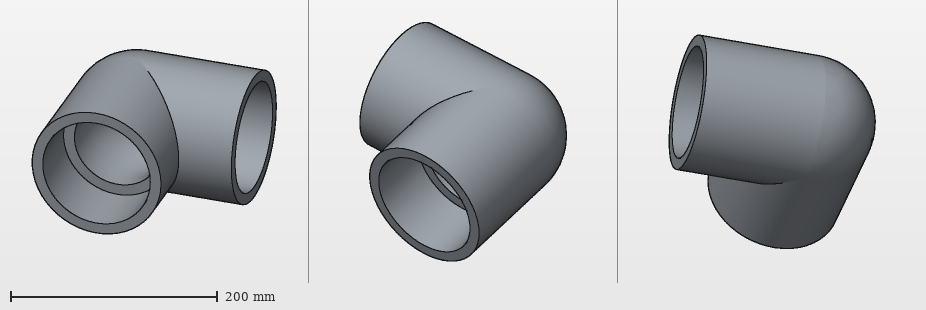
import cadquery as cq

outer_diameter = 132.0
socket_diameter = 110.1
bore_diameter = 88.0
x_leg_length = 120.0
y_leg_length = 118.0
stop_distance = 56.7
bend_radius = 54.7


def leg_along_x(diameter, start, end):
    return cq.Workplane("YZ").workplane(offset=start).circle(diameter / 2).extrude(end - start)


def leg_along_minus_y(diameter, start, end):
    return cq.Workplane("XZ").workplane(offset=start).circle(diameter / 2).extrude(end - start)


def outer_body():
    """Two round legs joined by a ball of the same diameter."""
    ball = cq.Workplane("XY").sphere(outer_diameter / 2)
    x_leg = leg_along_x(outer_diameter, 0, x_leg_length)
    y_leg = leg_along_minus_y(outer_diameter, 0, y_leg_length)
    return x_leg.union(y_leg).union(ball)


def curved_bore():
    """Quarter-turn bore, tangent to a short straight bore in each leg."""
    bend = (
        cq.Workplane("XZ", origin=(0, -bend_radius, 0))
        .circle(bore_diameter / 2)
        .revolve(90, (bend_radius, 0), (bend_radius, -1))
    )
    x_bore = leg_along_x(bore_diameter, bend_radius, stop_distance)
    y_bore = leg_along_minus_y(bore_diameter, bend_radius, stop_distance)
    return bend.union(x_bore).union(y_bore)


x_socket = leg_along_x(socket_diameter, stop_distance, x_leg_length)
y_socket = leg_along_minus_y(socket_diameter, stop_distance, y_leg_length)

result = outer_body().cut(curved_bore()).cut(x_socket).cut(y_socket)